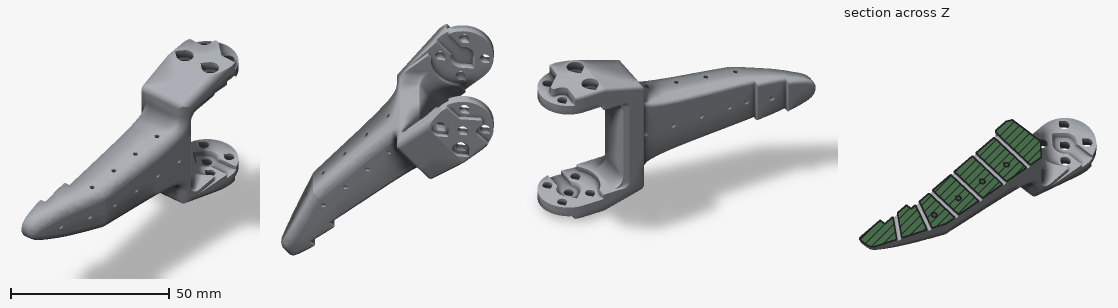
import cadquery as cq
import math

disc_radius = 9.9
outer_half_height = 24.0
left_face_x = -disc_radius
tip_y = -82.09

back_angle = math.radians(6)
back_slope = math.tan(back_angle)
tip_slope = math.tan(math.radians(25))
back_x_at_origin = disc_radius / math.cos(back_angle)
knee_y = -58.8

bevel_start_y = -7.77
wall_y = -22.1
wall_corner_z = 20.0
corner_radius = 2.0
back_radius = 3.0
bevel_back_radius = 2.2
front_radius = 1.0

gap_center_z = -0.65
seat_half_gap = 18.3
throat_half_gap = 16.65
seat_ledge_y = -7.2
horn_clearance_radius = 10.0
disc_thickness = 3.4
wall_inner_y = -14.8
gap_inner_radius = 3.7
gap_front_radius = 2.0
front_flare = 1.7
front_flare_depth = 1.0
back_flare = 4.9
back_flare_end_x = 8.35

hole_pitch = 10.0
screw_radius = 1.6
head_radius = 2.75
pad_line_slope = math.tan(math.radians(3))
pad_peak_radius = 1.0

recess_depth = 1.4
hub_radius = 4.0
hub_taper = 27.0
horn_arm_width = 4.8

finger_front_x = -8.4
step_rise = 2.0
first_step_y = -62.0
second_step_y = -72.0
root_radius = 4.0
root_center_y = wall_y - root_radius
root_center_z = 14.8
root_end_y = -25.0
root_embed = 2.0
root_slab_z = 17.5
flank_points = [(-35, 9.3), (-45, 8.5), (-60, 7.4), (-70, 6.3), (-77, 4.7)]
flank_start = (-1, -0.28)
pin_radius = 0.75
pin_pitch = 10.0
first_cross_pin_y = -28.9
cross_pin_inset = 5.05
cross_pin_count = 4
first_front_pin_y = -23.0
front_pin_count = 4
tip_pins = [
    ((finger_front_x, -59.15), (1.45, -63.9)),
    ((finger_front_x - step_rise, -67.2), (-2.9, -73.3)),
]

tolerance = 0.02
reach = 200.0


def back_x(y):
    """X of the back face at the given Y."""
    if y >= knee_y:
        return back_x_at_origin + back_slope * y
    return back_x(knee_y) + tip_slope * (y - knee_y)


def bevel_z(y):
    """Z of the arm's bevelled outer face at the given Y."""
    drop = outer_half_height - wall_corner_z
    return wall_corner_z + drop * (y - wall_y) / (bevel_start_y - wall_y)


def teardrop(radius, x, y, z, height, taper=0):
    """Vertical teardrop prism with its point towards -X."""
    half = radius / math.sqrt(2)
    return (
        cq.Workplane("XY", origin=(x, y, z))
        .moveTo(-half, half)
        .lineTo(-2 * half, 0)
        .lineTo(-half, -half)
        .threePointArc((radius, 0), (-half, half))
        .close()
        .extrude(height, taper=taper)
    )


def pick_edges(body, wanted):
    return [edge for edge in body.edges().vals() if wanted(edge)]


def lies_on(edge, gap):
    """True when gap(point) is zero all along the edge."""
    return all(abs(gap(edge.positionAt(t))) < tolerance for t in (0, 0.2, 0.5, 0.8, 1))


def on_back(edge):
    return lies_on(edge, lambda p: p.x - back_x(p.y))


def is_bevel(edge):
    return lies_on(edge, lambda p: abs(p.z) - bevel_z(p.y))


def is_vertical(edge):
    start, end = edge.startPoint(), edge.endPoint()
    return abs(start.x - end.x) + abs(start.y - end.y) < tolerance


def arm_plan():
    tangent_x = disc_radius * math.cos(back_angle)
    tangent_y = -disc_radius * math.sin(back_angle)
    return (
        cq.Workplane("XY", origin=(0, 0, -reach / 2))
        .moveTo(left_face_x, wall_y)
        .lineTo(left_face_x, 0)
        .threePointArc((0, disc_radius), (tangent_x, tangent_y))
        .lineTo(back_x(wall_y), wall_y)
        .close()
        .extrude(reach)
    )


def bevel_envelope():
    """Side shape of the fork; its bevels run on past the flat outer faces."""
    far_z = bevel_z(disc_radius)
    plan = (
        cq.Workplane("XY", origin=(0, 0, -reach / 2))
        .polyline([
            (2 * left_face_x, wall_y),
            (2 * left_face_x, disc_radius),
            (back_x(disc_radius), disc_radius),
            (back_x(wall_y), wall_y),
        ])
        .close()
        .extrude(reach)
    )
    side = (
        cq.Workplane("YZ", origin=(-reach / 2, 0, 0))
        .polyline([
            (wall_y, -wall_corner_z),
            (disc_radius, -far_z),
            (disc_radius, far_z),
            (wall_y, wall_corner_z),
        ])
        .close()
        .extrude(reach)
    )
    block = plan.intersect(side)
    bevel_edges = pick_edges(block, lambda e: on_back(e) and is_bevel(e))
    block = cq.Workplane(block.val().fillet(bevel_back_radius, bevel_edges))
    rounded_side = side.edges("|X and <Y").fillet(corner_radius)
    return block.intersect(rounded_side)


def finger():
    plan = (
        cq.Workplane("XY", origin=(0, 0, -reach / 2))
        .polyline([
            (finger_front_x, wall_y + root_embed),
            (finger_front_x, first_step_y),
            (finger_front_x - step_rise, first_step_y),
            (finger_front_x - step_rise, second_step_y),
            (finger_front_x - 2 * step_rise, second_step_y),
            (finger_front_x - 2 * step_rise, tip_y),
            (back_x(tip_y), tip_y),
            (back_x(knee_y), knee_y),
            (back_x(wall_y + root_embed), wall_y + root_embed),
        ])
        .close()
        .extrude(reach)
    )
    root_end_z = root_center_z - math.sqrt(root_radius**2 - (root_end_y - root_center_y)**2)
    mid = root_radius / math.sqrt(2)
    upper_half = (
        cq.Workplane("YZ", origin=(-reach / 2, 0, 0))
        .moveTo(wall_y + root_embed, 0)
        .lineTo(wall_y + root_embed, root_slab_z)
        .lineTo(wall_y, root_slab_z)
        .lineTo(wall_y, root_center_z)
        .threePointArc((root_center_y + mid, root_center_z - mid), (root_end_y, root_end_z))
        .spline(flank_points + [(tip_y, 0)], tangents=[flank_start, (0, -1)], includeCurrent=True)
        .close()
        .extrude(reach)
    )
    side = upper_half.union(upper_half.mirror("XY"))
    body = plan.intersect(side)

    step_xs = [finger_front_x, finger_front_x - step_rise, finger_front_x - 2 * step_rise]
    front_edges = pick_edges(
        body,
        lambda e: not is_vertical(e) and any(lies_on(e, lambda p: p.x - x) for x in step_xs),
    )
    return cq.Workplane(body.val().fillet(front_radius, front_edges))


def outer_body():
    """Wall and finger with rounded edges, trimmed to the fork's side shape."""
    body = arm_plan().union(finger())

    def is_rounded(edge):
        at_knee = lies_on(edge, lambda p: p.y - knee_y)
        past_wall = edge.Center().y <= wall_y + tolerance
        return on_back(edge) and past_wall and not at_knee

    back_edges = pick_edges(body, is_rounded)
    body = cq.Workplane(body.val().fillet(back_radius, back_edges))

    finger_room = cq.Workplane("XY").box(reach, reach, reach).translate((0, wall_y - reach / 2, 0))
    arms = cq.Workplane("XY").box(reach, reach, 2 * outer_half_height)
    return body.intersect(bevel_envelope().union(finger_room)).intersect(arms)


def pad_relief():
    """Tall prism over the low area round the two far screws, beside the raised pads."""
    half_pitch = hole_pitch / 2
    tangent = head_radius / math.cos(math.atan(pad_line_slope))

    def line_y(x):
        return half_pitch - tangent - pad_line_slope * x

    diagonal = 2 * half_pitch - head_radius * math.sqrt(2)
    side_x = head_radius - half_pitch
    peak = (
        cq.Workplane("XY")
        .polyline([
            (side_x, 0),
            (side_x, diagonal - side_x),
            (diagonal, 0),
        ])
        .close()
        .extrude(reach)
        .edges("|Z and >Y")
        .fillet(pad_peak_radius)
    )
    relief = (
        cq.Workplane("XY")
        .polyline([
            (-reach, line_y(-reach)),
            (reach, line_y(reach)),
            (reach, reach),
            (-reach, reach),
        ])
        .close()
        .extrude(reach)
        .cut(peak)
    )
    corner = cq.Workplane("XY").box(head_radius, head_radius, reach, centered=False)
    corner = corner.translate((-half_pitch, half_pitch - head_radius, 0))
    screw_head = cq.Workplane("XY").center(-half_pitch, half_pitch).circle(head_radius).extrude(reach)
    return relief.cut(corner.cut(screw_head))


def cut_pads(body):
    relief = pad_relief()
    top = gap_center_z + seat_half_gap + disc_thickness
    bottom = gap_center_z - seat_half_gap - disc_thickness
    body = body.cut(relief.translate((0, 0, top)))
    return body.cut(relief.translate((0, 0, bottom - reach)))


def round_front(body):
    """Round the outer outline of the fork's -X face and the short arcs that continue it."""
    def on_front_outline(edge):
        at_disc_seam = lies_on(edge, lambda p: p.y)
        return lies_on(edge, lambda p: p.x - left_face_x) and not at_disc_seam

    def on_pad_arc(edge):
        at_outer_face = lies_on(edge, lambda p: abs(p.z) - outer_half_height)
        return edge.geomType() == "CIRCLE" and at_outer_face and edge.Center().x < left_face_x / 2

    edges = pick_edges(body, lambda e: on_front_outline(e) or on_pad_arc(e))
    return cq.Workplane(body.val().fillet(front_radius, edges))


def gap_profile(x, inner_y, half_gap, radius):
    """Outline of the gap in a YZ section, open towards +Y beyond the discs."""
    bend = radius * (1 - 1 / math.sqrt(2))
    z = half_gap
    return (
        cq.Workplane("YZ", origin=(x, 0, gap_center_z))
        .moveTo(2 * disc_radius, -z)
        .lineTo(inner_y + radius, -z)
        .threePointArc((inner_y + bend, bend - z), (inner_y, radius - z))
        .lineTo(inner_y, z - radius)
        .threePointArc((inner_y + bend, z - bend), (inner_y + radius, z))
        .lineTo(2 * disc_radius, z)
        .close()
    )


def loft(first, second):
    wires = [first.wires().val(), second.wires().val()]
    return cq.Workplane(cq.Solid.makeLoft(wires, True))


def arm_gap():
    front_end_x = left_face_x + front_flare_depth
    front = gap_profile(left_face_x, wall_inner_y - front_flare, throat_half_gap, gap_front_radius)
    front_end = gap_profile(front_end_x, wall_inner_y, throat_half_gap, gap_front_radius)
    inner = gap_profile(left_face_x, wall_inner_y, throat_half_gap, gap_inner_radius)
    back_start_x = back_flare_end_x - back_flare
    back_start = gap_profile(back_start_x, wall_inner_y, throat_half_gap, gap_inner_radius)
    back_end = gap_profile(back_flare_end_x, wall_inner_y - back_flare, throat_half_gap, gap_inner_radius)
    beyond = gap_profile(back_flare_end_x, wall_inner_y - back_flare, seat_half_gap, gap_inner_radius)
    gap = inner.extrude(back_start_x - left_face_x)
    gap = gap.union(loft(front, front_end))
    gap = gap.union(loft(back_start, back_end))
    gap = gap.union(beyond.extrude(disc_radius))

    seat = cq.Workplane("XY").box(reach, reach, 2 * seat_half_gap).translate((0, seat_ledge_y + reach / 2, 0))
    seat = seat.union(cq.Workplane("XY").circle(horn_clearance_radius).extrude(seat_half_gap, both=True))
    return gap.union(seat.translate((0, 0, gap_center_z)))


def horn_recess():
    """Horn pocket cut upwards from a seat at Z = 0: a tapered teardrop hub and one arm."""
    hub = teardrop(hub_radius, 0, 0, 0, recess_depth, hub_taper)
    arm = cq.Workplane("XY").box(2 * disc_radius, horn_arm_width, recess_depth, centered=(False, True, False))
    return hub.union(arm)


def cut_disc_features(body):
    recess = horn_recess()
    top_seat = gap_center_z + seat_half_gap
    bottom_seat = gap_center_z - seat_half_gap
    body = body.cut(recess.translate((0, 0, top_seat)))
    body = body.cut(recess.mirror("XY").translate((0, 0, bottom_seat)))

    half_pitch = hole_pitch / 2
    for x in (-half_pitch, half_pitch):
        for y in (-half_pitch, half_pitch):
            body = body.cut(teardrop(screw_radius, x, y, -reach / 2, reach))
        body = body.cut(teardrop(head_radius, x, -half_pitch, top_seat + disc_thickness, reach))
        body = body.cut(teardrop(head_radius, x, -half_pitch, bottom_seat - disc_thickness - reach, reach))
    return body.cut(teardrop(screw_radius, 0, 0, bottom_seat - reach, reach))


def pin_hole(start, end):
    """Round hole at Z = 0 through two (X, Y) points and on past the second."""
    direction = cq.Vector(end[0] - start[0], end[1] - start[1], 0).normalized()
    base = cq.Vector(start[0], start[1], 0) - direction * pin_radius
    length = disc_radius * 2
    return cq.Workplane(cq.Solid.makeCylinder(pin_radius, length, base, direction))


def cut_pins(body):
    for i in range(cross_pin_count):
        y = first_cross_pin_y - i * pin_pitch
        body = body.cut(teardrop(pin_radius, back_x(y) - cross_pin_inset, y, -reach / 2, reach))
    for i in range(front_pin_count):
        y = first_front_pin_y - i * pin_pitch
        outlet_y = y - back_slope * disc_radius
        body = body.cut(pin_hole((finger_front_x, y), (finger_front_x + disc_radius, outlet_y)))
    for entry, outlet in tip_pins:
        body = body.cut(pin_hole(entry, outlet))
    return body


result = outer_body()
result = cut_pads(result)
result = round_front(result)
result = result.cut(arm_gap())
result = cut_disc_features(result)
result = cut_pins(result)